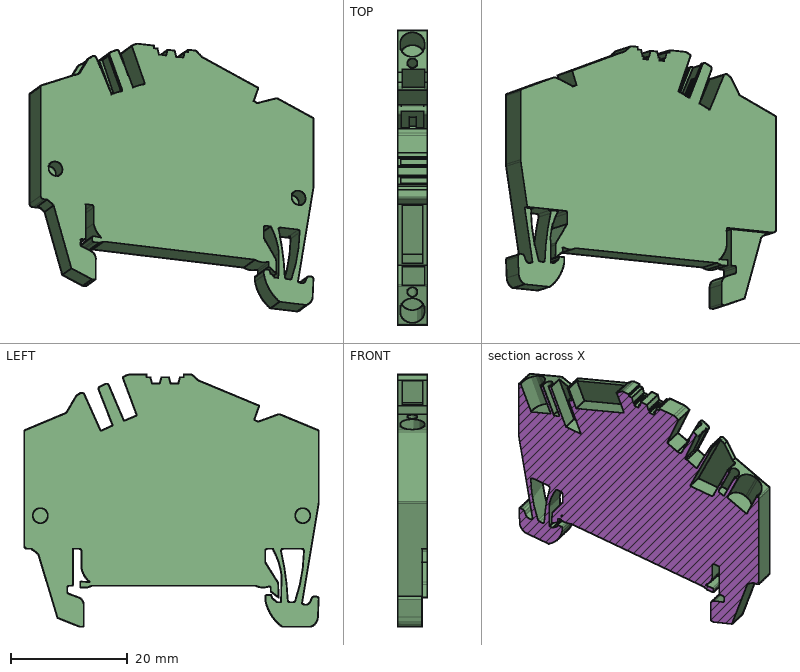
import cadquery as cq
import math

thickness = 5.1
length = 50.5
height = 43.25
half_length = length / 2
foot_thickness = 4.2

shoulder_z = 33.65
terminal_angle = math.radians(22.5)
lean = math.tan(terminal_angle)
ceiling_z = 13.35
base_z = 7.0
groove_land_z = height - 0.45
groove_floor_z = height - 1.5
body_left_y = 15.45
body_right_y = -16.05
taper_z = 21.3
ankle_y = -22.35
ankle_z = 4.05
taper_run = (ankle_y + half_length) / (taper_z - ankle_z)
taper_ceiling_y = -half_length + taper_run * (taper_z - ceiling_z)

wire_hole_y = 22.8
wire_hole_width = 4.2
wire_hole_span = 4.55
wire_hole_depth = 5.7
test_hole_y = 19.6
test_hole_diameter = 1.7
test_hole_depth = 6.05
hole_x = 2.5
tool_x_min = 0.8
tool_x_max = 4.65
tool_depth = 7.6
tower_mouth_outer = (18.6, 36.4)
tower_mouth_inner = (15.55, 40.3)
tower_mouth_corner = (tower_mouth_outer[0], tower_mouth_inner[1])

label_x_min = 0.8
label_x_max = 4.35
label_top_y = -4.75
label_end_y = -14.7
label_depth = 4.1

side_hole_y = 22.45
side_hole_z = 19.05
side_hole_diameter = 2.6
side_hole_depth = 3.05
groove_rim = 0.55
groove_extra_depth = 0.5
fin_rim = 0.65
fin_relief = 0.6
fin_relief_foot = 0.4
fin_notch_x_min = 1.95
fin_notch_x_max = 3.2
fin_notch_y = 10.3
fin_notch_depth = 0.25


def prism(points, x_min, x_max):
    """Extrude a closed (Y, Z) polygon between two X positions."""
    return cq.Workplane("YZ", origin=(x_min, 0, 0)).polyline(points).close().extrude(x_max - x_min)


def round_corners(body, radius, points):
    """Round the X-parallel edges nearest to the given (Y, Z) points."""
    middle_x = body.val().BoundingBox().center.x
    for y, z in points:
        edge = body.edges("|X").edges(cq.NearestToPointSelector((middle_x, y, z)))
        body = edge.fillet(radius)
    return body


def terminal_hole(y, width, span, depth):
    """Blind round or oval hole, square to the sloped terminal face it enters at the given Y."""
    face_z = shoulder_z + (half_length - abs(y)) * lean
    outward = math.copysign(math.sin(terminal_angle), y)
    face = cq.Plane(
        origin=(hole_x, y, face_z),
        xDir=(1, 0, 0),
        normal=(0, outward, math.cos(terminal_angle)),
    )
    sketch = cq.Workplane(face).workplane(offset=-depth)
    if span > width:
        sketch = sketch.slot2D(span, width, 90)
    else:
        sketch = sketch.circle(width / 2)
    return sketch.extrude(2 * depth)


terminal_top = (18.05, 36.65)
tower_heel = (16.3, 39.6)
tower_tip = (15.35, 40.2)
tower_edge = (14.95, 39.9)
fin_slot_heel = (12.1, 33.6)
fin_slot_toe = (10.1, 34.5)
fin_left = (12.6, 40.95)
fin_right = (10.9, 41.8)
block_slot_heel = (8.15, 35.3)
block_slot_toe = (5.95, 36.2)
block_lip = (8.4, 42.7)
block_bevel = (7.7, 43.15)
block_top = (7.2, height)
land_left_y = 4.25
land_right_y = -2.05
label_ridge = (-3.5, height)
label_start = (-4.6, 42.2)
label_end = (-15.05, 37.9)
notch_heel = (-14.2, 35.45)
notch_toe = (-14.85, 35.15)
hump = (-18.45, 36.45)
notch_mouth_corner = (-14.95, hump[1])

left_tip = (15.65, 6.7)
left_tip_top = (left_tip[0], 7.8)
left_hook = (14.05, 7.7)
right_lip = (-16.95, base_z)
beak_root = (right_lip[0], 6.05)
beak_tip = (-18.4, 5.0)
beak_top = (-18.3, 7.5)
shoulder_step = (body_right_y, 11.05)

tip_radius = 0.4
ridge_radius = 0.6
shoulder_radius = 0.3
taper_radius = 2.0
beak_radius = 0.8
slot_radius = 0.35
latch_radius = 0.2


def housing():
    """Full-thickness body: terminals, tower, fin, marker block and the rail latches below."""
    body = (
        cq.Workplane("YZ")
        .moveTo(half_length, ceiling_z).lineTo(half_length, shoulder_z)
        .lineTo(*terminal_top).lineTo(*tower_heel).lineTo(*tower_tip).lineTo(*tower_edge)
        .lineTo(*fin_slot_heel).lineTo(*fin_slot_toe).lineTo(*fin_left).lineTo(*fin_right)
        .lineTo(*block_slot_heel).lineTo(*block_slot_toe).lineTo(*block_lip)
        .lineTo(*block_bevel).lineTo(*block_top)
        .lineTo(land_left_y, height).lineTo(land_left_y, groove_land_z)
        .lineTo(land_right_y, groove_land_z).lineTo(land_right_y, height).lineTo(*label_ridge)
        .lineTo(*label_start).lineTo(*label_end).lineTo(*notch_heel).lineTo(*notch_toe).lineTo(*hump)
        .lineTo(-half_length, shoulder_z).lineTo(-half_length, taper_z)
        .lineTo(taper_ceiling_y, ceiling_z).lineTo(body_right_y, ceiling_z)
        .lineTo(*shoulder_step).lineTo(*beak_top).lineTo(*beak_tip)
        .lineTo(-17.9, 5.35).lineTo(*beak_root).lineTo(*right_lip)
        .threePointArc((-15.5, 6.7), (-14.4, base_z)).lineTo(13.6, base_z)
        .lineTo(14.4, 6.7).lineTo(*left_tip).lineTo(*left_tip_top).lineTo(*left_hook)
        .threePointArc((15.05, 8.95), (body_left_y, 10.1)).lineTo(body_left_y, ceiling_z)
        .close().extrude(thickness)
    )
    body = round_corners(body, tip_radius, [tower_tip, fin_left, fin_right, hump])
    body = round_corners(body, ridge_radius, [label_ridge, (half_length, ceiling_z)])
    body = round_corners(body, shoulder_radius, [(half_length, shoulder_z), (-half_length, shoulder_z)])
    body = round_corners(body, taper_radius, [(-half_length, taper_z)])
    body = round_corners(body, beak_radius, [beak_top])
    body = round_corners(body, slot_radius, [(body_right_y, ceiling_z), (body_left_y, ceiling_z)])
    return round_corners(body, latch_radius, [left_tip, left_tip_top, right_lip])


groove_top_width = 1.85
groove_bottom_width = 1.3
groove_slit_width = 0.9
groove_centers = (2.7, -0.5)


def marker_groove(y):
    """Tapered groove across the top with a deeper slit that leaves a rim on the -X side."""
    half_top = groove_top_width / 2
    half_bottom = groove_bottom_width / 2
    outline = [
        (y + half_top, groove_land_z),
        (y + half_bottom, groove_floor_z),
        (y - half_bottom, groove_floor_z),
        (y - half_top, groove_land_z),
    ]
    pocket = cq.Workplane("XY").box(
        thickness, groove_slit_width, 2 * groove_extra_depth, centered=(False, True, True)
    ).translate((groove_rim, y, groove_floor_z))
    return prism(outline, 0, thickness).union(pocket)


def fin_reliefs():
    """Thin the fin on both faces, leaving its full width only at the two X ends."""
    left = [fin_left, fin_slot_toe]
    right = [fin_right, block_slot_heel]
    reliefs = []
    for (top, foot), side in ((left, -1), (right, 1)):
        outline = [
            top,
            foot,
            (foot[0] + side * fin_relief_foot, foot[1]),
            (top[0] + side * fin_relief, top[1]),
        ]
        reliefs.append(prism(outline, fin_rim, thickness - fin_rim))
    return reliefs[0].union(reliefs[1])


def fin_notch():
    """Shallow notch sunk into the thinned -Y face of the fin."""
    tip_y = fin_right[0] + fin_relief
    foot_y = block_slot_heel[0] + fin_relief_foot
    foot_z = block_slot_heel[1]
    top_z = foot_z + (fin_right[1] - foot_z) * (fin_notch_y - foot_y) / (tip_y - foot_y)
    outline = [
        (fin_notch_y, top_z),
        (foot_y, foot_z),
        (foot_y + fin_notch_depth, foot_z),
        (fin_notch_y + fin_notch_depth, top_z),
    ]
    return prism(outline, fin_notch_x_min, fin_notch_x_max)


def tool_opening(outer, corner, inner):
    """Deep opening whose mouth runs through three (Y, Z) points; it leans inward as it goes down."""
    inward = -math.copysign(lean, outer[0])
    floor_z = outer[1] - tool_depth
    foot = (outer[0] + inward * tool_depth, floor_z)
    inner_foot = (inner[0] + inward * (inner[1] - floor_z), floor_z)
    return prism([outer, corner, inner, inner_foot, foot], tool_x_min, tool_x_max)


def label_pocket():
    """Rectangular pocket sunk square into the long slope."""
    slope = (label_end[1] - label_start[1]) / (label_end[0] - label_start[0])
    tilt = math.atan(slope)
    inward_y = label_depth * math.sin(tilt)
    inward_z = -label_depth * math.cos(tilt)
    top = (label_top_y, label_start[1] + slope * (label_top_y - label_start[0]))
    end = (label_end_y, label_start[1] + slope * (label_end_y - label_start[0]))
    outline = [
        top,
        end,
        (end[0] + inward_y, end[1] + inward_z),
        (top[0] + inward_y, top[1] + inward_z),
    ]
    return prism(outline, label_x_min, label_x_max)


foot_overlap = 2.0
foot_root_z = ceiling_z + foot_overlap
foot_radius = 0.25
tab_radius = 0.45
window_foot_radius = 0.3


def fixed_foot():
    """Rigid +Y foot with a rail groove above its toe."""
    slot_y = 16.85
    rail_groove_y = 17.85
    rail_groove_z = 5.75
    toe_y = 15.0
    knee = (22.85, 12.4)
    heel = (19.55, 1.5)
    root_y = 24.05
    body = (
        cq.Workplane("YZ")
        .moveTo(slot_y, foot_root_z).lineTo(slot_y, base_z).lineTo(rail_groove_y, base_z)
        .lineTo(rail_groove_y, rail_groove_z).lineTo(15.8, 5.0).threePointArc((15.2, 4.45), (toe_y, 3.6))
        .lineTo(toe_y, 0).lineTo(15.75, 0).lineTo(*heel).lineTo(*knee)
        .threePointArc((23.4, 12.9), (root_y, ceiling_z)).lineTo(root_y, foot_root_z)
        .close().extrude(foot_thickness)
    )
    groove_corners = [(rail_groove_y, base_z), (rail_groove_y, rail_groove_z)]
    body = round_corners(body, foot_radius, groove_corners + [(toe_y, 0)])
    return round_corners(body, latch_radius, [(slot_y, base_z)])


def spring_foot():
    """Sprung -Y foot: two thin beams carrying a hooked toe."""
    toe_y = body_right_y
    toe_top_z = 5.45
    window_z = 4.25
    tab_top_z = 5.2
    tab_inner_y = -24.15
    beam_y = -17.3
    root_y = taper_ceiling_y - taper_run * foot_overlap
    body = (
        cq.Workplane("YZ")
        .moveTo(root_y, foot_root_z).lineTo(ankle_y, ankle_z)
        .threePointArc((-23.05, 3.8), (-23.8, 4.4)).lineTo(tab_inner_y, tab_top_z)
        .lineTo(-half_length, tab_top_z).lineTo(-25.1, 1.7)
        .threePointArc((-24.75, 0.65), (-23.9, 0)).lineTo(-18.95, 0)
        .threePointArc((-17.0, 2.05), (toe_y, 4.55)).lineTo(toe_y, toe_top_z)
        .lineTo(-17.05, toe_top_z).lineTo(-17.25, 4.9).lineTo(-18.1, window_z).lineTo(-18.75, window_z)
        .lineTo(-18.85, 8.75).threePointArc((-18.35, 11.05), (beam_y, ceiling_z))
        .lineTo(beam_y, foot_root_z).close().extrude(foot_thickness)
    )
    body = round_corners(body, tab_radius, [(-half_length, tab_top_z), (tab_inner_y, tab_top_z)])
    body = round_corners(body, foot_radius, [(toe_y, toe_top_z)])
    top_inner = (-18.7, ceiling_z)
    top_outer = (-22.65, ceiling_z)
    bottom_outer = (-21.1, window_z)
    bottom_inner = (-19.95, window_z)
    window = (
        cq.Workplane("YZ")
        .moveTo(*top_inner).lineTo(*top_outer)
        .threePointArc((-22.25, 8.75), bottom_outer).lineTo(*bottom_inner)
        .threePointArc((-19.55, 8.9), top_inner)
        .close().extrude(foot_thickness)
    )
    window = round_corners(window, slot_radius, [top_inner, top_outer])
    window = round_corners(window, window_foot_radius, [bottom_outer, bottom_inner])
    return body.cut(window)


result = housing().union(fixed_foot()).union(spring_foot())

for groove_y in groove_centers:
    result = result.cut(marker_groove(groove_y))

for side in (1, -1):
    result = result.cut(
        terminal_hole(side * wire_hole_y, wire_hole_width, wire_hole_span, wire_hole_depth)
    )
    result = result.cut(
        terminal_hole(side * test_hole_y, test_hole_diameter, test_hole_diameter, test_hole_depth)
    )
    side_hole = cq.Workplane("YZ").center(side * side_hole_y, side_hole_z).circle(side_hole_diameter / 2)
    result = result.cut(side_hole.extrude(side_hole_depth))

result = result.cut(fin_reliefs()).cut(fin_notch())
result = result.cut(tool_opening(tower_mouth_outer, tower_mouth_corner, tower_mouth_inner))
result = result.cut(tool_opening(hump, notch_mouth_corner, notch_toe))
result = result.cut(label_pocket())